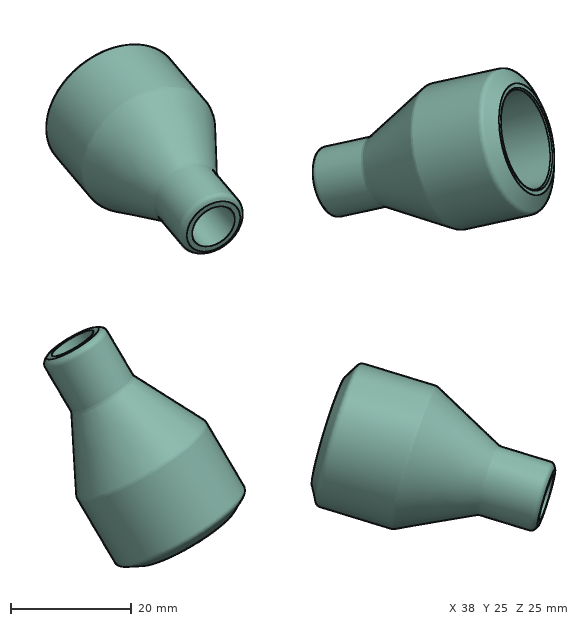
import cadquery as cq
import math

length = 38.0
body_radius = 25.0 / 2
neck_radius = 12.0 / 2
body_end_x = 15.0
neck_start_x = 28.0
edge_round = 1.0

bevel_angle = math.radians(60)
mouth_rim_radius = 9.5
neck_rim_radius = 5.0
mouth_bevel_length = (body_radius - mouth_rim_radius) / math.tan(bevel_angle)
neck_bevel_length = (neck_radius - neck_rim_radius) / math.tan(bevel_angle)

socket_radius = 17.0 / 2
hole_radius = 8.0 / 2
socket_depth = 10.0
mouth_chamfer = 0.25
taper_slope = (body_radius - neck_radius) / (neck_start_x - body_end_x)
funnel_end_x = socket_depth + (socket_radius - hole_radius) / taper_slope


def revolve_about_x(points):
    """Turn a closed (x, radius) outline into a solid about the X axis."""
    outline = cq.Workplane("XY").polyline(points).close()
    return outline.revolve(360, (0, 0, 0), (1, 0, 0))


def make_outer_body():
    corners = [
        (mouth_bevel_length, body_radius),
        (body_end_x, body_radius),
        (neck_start_x, neck_radius),
        (length - neck_bevel_length, neck_radius),
    ]
    mouth_face = [(0, 0), (0, mouth_rim_radius)]
    neck_face = [(length, neck_rim_radius), (length, 0)]
    body = revolve_about_x(mouth_face + corners + neck_face)
    margin = neck_bevel_length / 2
    between_ends = cq.selectors.BoxSelector(
        (margin, -body_radius, -body_radius),
        (length - margin, body_radius, body_radius),
        boundingbox=False,
    )
    return body.edges("%CIRCLE").edges(between_ends).fillet(edge_round)


def make_bore():
    return revolve_about_x([
        (0, 0),
        (0, socket_radius + mouth_chamfer),
        (mouth_chamfer, socket_radius),
        (socket_depth, socket_radius),
        (funnel_end_x, hole_radius),
        (length, hole_radius),
        (length, 0),
    ])


result = make_outer_body().cut(make_bore())